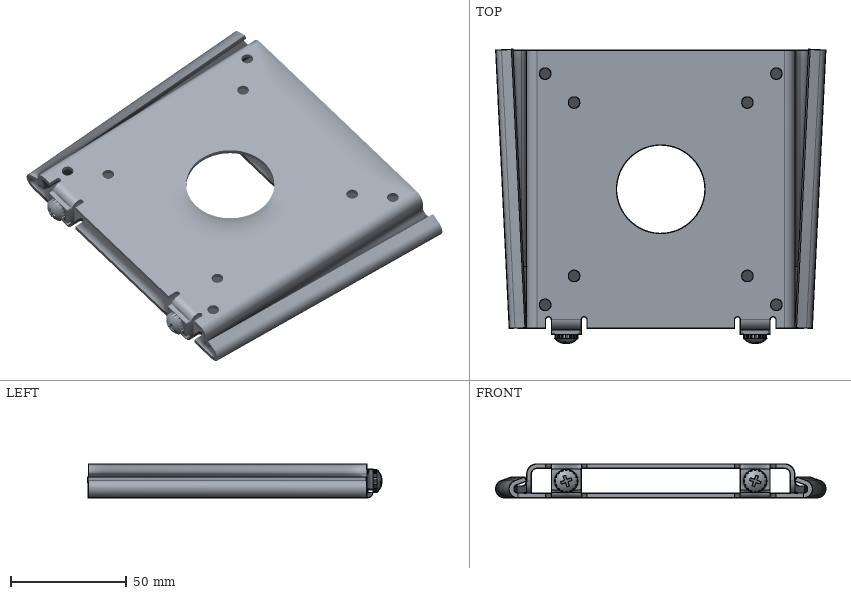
import cadquery as cq
import math

sheet = 2.0
height = 14.7
back_half_width = 71.5
front_half_width = 65.6
depth = 120.5
back_y = depth / 2
front_y = -depth / 2

hook_radius = 3.9
lip_angle = 20.0
lip_length = 4.6
window_x = 71.5
window_y = 42.9

web_outer_x = 58.0
shoulder_radius = 4.5
foot_radius = 2.3
flange_thickness = 3.1
flange_front_y = -33.5
flange_front_x = 62.1
nose_radius = 5.3

centre_hole_diameter = 38.1
mount_hole_diameter = 5.0
mount_hole_offsets = (50.0, 37.5)

tab_x = 40.9
tab_width = 13.0
tab_root_y = front_y + 3.9
upper_tab_face_y = front_y - 0.6
upper_bend_radius = tab_root_y - upper_tab_face_y
lower_bend_radius = 2.5
notch_width = 2.5
notch_end_y = front_y + 5.0

clamp_bottom = 3.5
clamp_top = 12.5
clamp_corner_radius = 0.7

screw_z = 7.3
head_diameter = 10.0
head_rim = 1.7
head_dome = 2.3
groove_count = 16
groove_width = 0.7
groove_depth = 0.5
recess_arm = 2.5
recess_width = 1.1
recess_depth = 1.7
recess_turn = 20.0

taper_slope = (back_half_width - front_half_width) / depth
taper_angle = math.degrees(math.atan(taper_slope))
hook_back_x = back_half_width - hook_radius
hook_front_x = front_half_width - hook_radius
web_inner_x = web_outer_x - sheet
flange_top = sheet + flange_thickness
clamp_face_y = upper_tab_face_y - sheet


def both_sides(half):
    """Join a feature on the +X side with its mirror image."""
    return half.union(half.mirror("YZ"))


def box(x0, x1, y0, y1, z0, z1):
    return cq.Workplane("XY").box(x1 - x0, y1 - y0, z1 - z0, centered=False).translate((x0, y0, z0))


def extrude_along_y(profile, y0, y1):
    """Extrude a closed XZ profile between two Y positions."""
    return profile.extrude(y0 - y1).translate((0, y0, 0))


def hook():
    """Rolled edge with a sloping lip, squared off across its own tapered direction."""
    angle = math.radians(lip_angle)
    inner_radius = hook_radius - sheet

    def on_roll(radius, direction):
        return radius * math.cos(direction), hook_radius + radius * math.sin(direction)

    roll_end = math.pi / 2 - angle
    outer_end = on_roll(hook_radius, roll_end)
    inner_end = on_roll(inner_radius, roll_end)
    run = -lip_length * math.cos(angle)
    rise = lip_length * math.sin(angle)
    profile = (
        cq.Workplane("XZ")
        .moveTo(0, 0)
        .threePointArc(on_roll(hook_radius, 0), outer_end)
        .line(run, rise)
        .lineTo(inner_end[0] + run, inner_end[1] + rise)
        .lineTo(*inner_end)
        .threePointArc(on_roll(inner_radius, 0), (0, sheet))
        .close()
    )
    length = depth / math.cos(math.radians(taper_angle))
    start = hook_radius * taper_slope
    straight = extrude_along_y(profile, start, start + length)
    return straight.rotate((0, 0, 0), (0, 0, 1), -taper_angle).translate((hook_front_x, front_y, 0))


def base():
    outline = [
        (-hook_front_x, front_y),
        (hook_front_x, front_y),
        (hook_back_x, back_y),
        (-hook_back_x, back_y),
    ]
    plate = cq.Workplane("XY").polyline(outline).close().extrude(sheet)
    window = cq.Workplane("XY").rect(window_x, window_y).extrude(sheet)
    return plate.cut(window).union(both_sides(hook()))


def web_and_flange():
    """Side web of the cap; its flange follows the taper of the hook."""
    outer_bend = foot_radius + sheet
    flange_back_x = flange_front_x + (back_y - flange_front_y) * taper_slope
    profile = (
        cq.Workplane("XZ")
        .moveTo(web_inner_x, height - shoulder_radius)
        .lineTo(web_inner_x, sheet + outer_bend)
        .tangentArcPoint((web_inner_x + outer_bend, sheet), relative=False)
        .lineTo(flange_back_x, sheet)
        .lineTo(flange_back_x, flange_top)
        .lineTo(web_outer_x + foot_radius, flange_top)
        .tangentArcPoint((web_outer_x, flange_top + foot_radius), relative=False)
        .lineTo(web_outer_x, height - shoulder_radius)
        .close()
    )
    flange_plan = [
        (0, flange_front_y),
        (flange_front_x, flange_front_y),
        (flange_back_x, back_y),
        (0, back_y),
    ]
    trim = cq.Workplane("XY").polyline(flange_plan).close().extrude(height)
    flanged = extrude_along_y(profile, flange_front_y, back_y).intersect(trim)
    straight = box(web_inner_x, web_outer_x, front_y, flange_front_y, sheet, height - shoulder_radius)
    straight = straight.edges("|X").edges("<Y and <Z").fillet(nose_radius)
    return flanged.union(straight)


def cap():
    inner_radius = shoulder_radius - sheet
    spring_z = height - shoulder_radius
    profile = (
        cq.Workplane("XZ")
        .moveTo(0, height)
        .lineTo(web_outer_x - shoulder_radius, height)
        .tangentArcPoint((web_outer_x, spring_z), relative=False)
        .lineTo(web_inner_x, spring_z)
        .radiusArc((web_inner_x - inner_radius, height - sheet), -inner_radius)
        .lineTo(0, height - sheet)
        .close()
    )
    half = extrude_along_y(profile, front_y, back_y).union(web_and_flange())
    plate = both_sides(half)
    mid_height = cq.Workplane("XY").workplane(offset=height / 2)
    plate = plate.cut(mid_height.circle(centre_hole_diameter / 2).extrude(height))
    for offset in mount_hole_offsets:
        corners = mid_height.rect(2 * offset, 2 * offset, forConstruction=True).vertices()
        plate = plate.cut(corners.circle(mount_hole_diameter / 2).extrude(height))
    return plate


def tab_clearance():
    """Space cleared in both plates: the tab's own width and a round-ended notch on each side."""
    half_width = tab_width / 2
    end_radius = notch_width / 2
    cut = box(-half_width, half_width, front_y, tab_root_y, 0, height)
    for side in (-1, 1):
        x = side * (half_width + end_radius)
        round_y = notch_end_y - end_radius
        notch = box(x - end_radius, x + end_radius, front_y, round_y, 0, height)
        notch_end = cq.Workplane("XY").center(x, round_y).circle(end_radius).extrude(height)
        cut = cut.union(notch).union(notch_end)
    return cut.translate((tab_x, 0, 0))


def tab(profile):
    """Extrude a closed YZ profile across the tab's width."""
    return profile.extrude(tab_width / 2, both=True).translate((tab_x, 0, 0))


def upper_tab():
    """Bent down from the cap until it stands on the base."""
    inner_y = upper_tab_face_y + sheet
    return tab(
        cq.Workplane("YZ")
        .moveTo(tab_root_y, height - sheet)
        .lineTo(tab_root_y, height)
        .radiusArc((upper_tab_face_y, height - upper_bend_radius), -upper_bend_radius)
        .lineTo(upper_tab_face_y, sheet)
        .lineTo(inner_y, sheet)
        .lineTo(inner_y, height - upper_bend_radius)
        .tangentArcPoint((tab_root_y, height - sheet), relative=False)
        .close()
    )


def lower_tab():
    """Short tab of the base, curled up below the clamp plate."""
    bend_y = clamp_face_y + lower_bend_radius
    return tab(
        cq.Workplane("YZ")
        .moveTo(tab_root_y, 0)
        .lineTo(bend_y, 0)
        .tangentArcPoint((clamp_face_y, lower_bend_radius), relative=False)
        .lineTo(clamp_face_y + sheet, lower_bend_radius)
        .radiusArc((bend_y, sheet), -(lower_bend_radius - sheet))
        .lineTo(tab_root_y, sheet)
        .close()
    )


def clamp_plate():
    left_x = tab_x - tab_width / 2
    right_x = tab_x + tab_width / 2
    plate = box(left_x, right_x, clamp_face_y, upper_tab_face_y, clamp_bottom, clamp_top)
    return plate.edges("|Y").fillet(clamp_corner_radius)


def screw_head():
    """Domed head with a grooved rim and a cross recess, facing -Y."""
    radius = head_diameter / 2
    top = head_rim + head_dome
    dome_radius = (radius**2 + head_dome**2) / (2 * head_dome)
    shoulder = radius / 2
    shoulder_top = top - dome_radius + math.sqrt(dome_radius**2 - shoulder**2)
    head = (
        cq.Workplane("XZ")
        .lineTo(radius, 0)
        .lineTo(radius, head_rim)
        .threePointArc((shoulder, shoulder_top), (0, top))
        .close()
        .revolve(360, (0, 0), (0, 1))
    )
    grooves = (
        cq.Workplane("XY")
        .polarArray(radius, 0, 360, groove_count)
        .rect(2 * groove_depth, groove_width)
        .extrude(head_rim)
    )
    bar = cq.Workplane("XY").rect(2 * recess_arm, recess_width).extrude(top)
    cross = bar.union(bar.rotate((0, 0, 0), (0, 0, 1), 90)).rotate((0, 0, 0), (0, 0, 1), -recess_turn)
    cross = cross.translate((0, 0, top - recess_depth))
    head = head.cut(grooves).cut(cross)
    return head.rotate((0, 0, 0), (1, 0, 0), 90).translate((tab_x, clamp_face_y, screw_z))


plates = base().union(cap()).cut(both_sides(tab_clearance()))
fittings = upper_tab().union(lower_tab()).union(clamp_plate()).union(screw_head())
result = plates.union(both_sides(fittings))